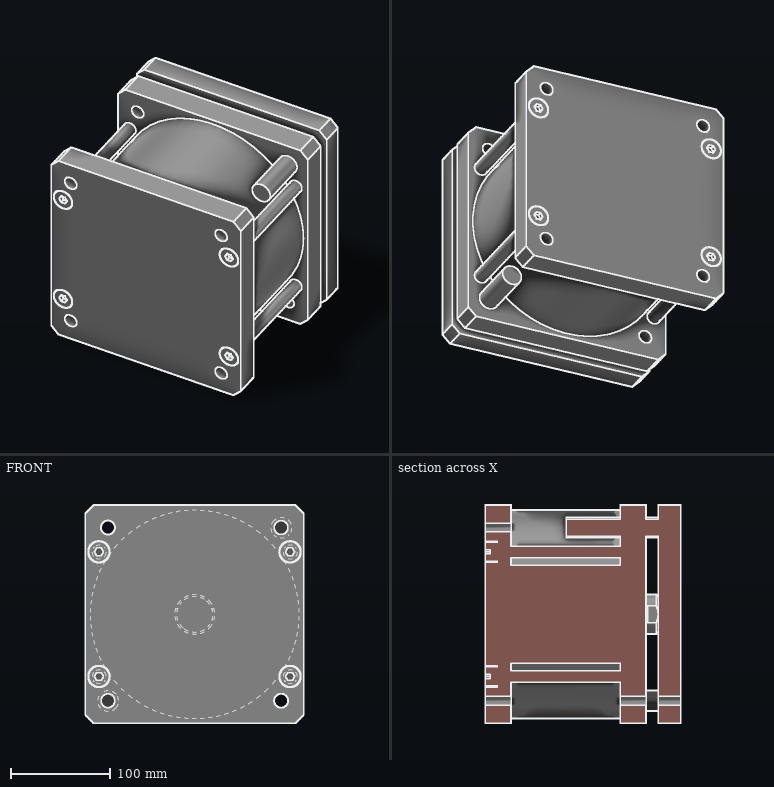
import cadquery as cq
import math

plate_side = 220
plate_corner_chamfer = 8.5
cover_thickness = 26.2
barrel_length = 109.5
head_thickness = 26.2
plate_gap = 12.0
moving_thickness = 22.9

front_y = -(cover_thickness + barrel_length + head_thickness + plate_gap + moving_thickness) / 2
barrel_y = front_y + cover_thickness
head_y = barrel_y + barrel_length
gap_y = head_y + head_thickness
moving_y = gap_y + plate_gap
back_y = moving_y + moving_thickness

barrel_diameter = 210.0

tie_rod_diameter = 14.0
tie_rod_x = 96.1
tie_rod_z = 62.7
counterbore_diameter = 22
counterbore_depth = 12.0
screw_head_diameter = 21.0
socket_across_flats = 8.0
socket_depth = 5.0

corner_offset = 87.1
corner_hole_diameter = 13.9
guide_pin_diameter = 21.0
guide_pin_reach = 54.3

rod_diameter = 40.0
rod_end_chamfer = 2.0
wrench_across_flats = 36.0
wrench_shoulder = 1.8

tie_rod_points = [(x, z) for x in (-tie_rod_x, tie_rod_x) for z in (-tie_rod_z, tie_rod_z)]
guide_pin_points = [(side * corner_offset, side * corner_offset) for side in (-1, 1)]
open_hole_points = [(-side * corner_offset, side * corner_offset) for side in (-1, 1)]


def section_plane(y):
    """Sketch plane at depth y: local axes are X and Z, negative extrusion runs toward +Y."""
    return cq.Workplane(cq.Plane(origin=(0, y, 0), xDir=(1, 0, 0), normal=(0, -1, 0)))


def plate(y_start, thickness):
    return (
        section_plane(y_start)
        .rect(plate_side, plate_side)
        .extrude(-thickness)
        .edges("|Y")
        .chamfer(plate_corner_chamfer)
    )


def cylinders(points, diameter, y_start, y_end):
    return section_plane(y_start).pushPoints(points).circle(diameter / 2).extrude(y_start - y_end)


def piston_rod():
    """Chamfered rod end with a flat on each X side; each flat runs out at 45 degrees towards the head."""
    rod = cylinders([(0, 0)], rod_diameter, gap_y, moving_y).faces(">Y").chamfer(rod_end_chamfer)
    flat_x = wrench_across_flats / 2
    runout_x = flat_x + wrench_shoulder
    envelope = (
        cq.Workplane("XY")
        .moveTo(-runout_x, gap_y)
        .lineTo(runout_x, gap_y)
        .lineTo(flat_x, gap_y + wrench_shoulder)
        .lineTo(flat_x, moving_y)
        .lineTo(-flat_x, moving_y)
        .lineTo(-flat_x, gap_y + wrench_shoulder)
        .close()
        .extrude(rod_diameter / 2, both=True)
    )
    return rod.intersect(envelope)


def screw_recesses():
    """Clearance rings around the screw heads and the hexagon sockets inside them."""
    rings = (
        section_plane(front_y)
        .pushPoints(tie_rod_points)
        .circle(counterbore_diameter / 2)
        .circle(screw_head_diameter / 2)
        .extrude(-counterbore_depth)
    )
    socket_across_corners = socket_across_flats / math.cos(math.pi / 6)
    sockets = (
        section_plane(front_y)
        .pushPoints(tie_rod_points)
        .polygon(6, socket_across_corners)
        .extrude(-socket_depth)
    )
    return rings.union(sockets)


body = (
    plate(front_y, cover_thickness)
    .union(cylinders([(0, 0)], barrel_diameter, barrel_y, head_y))
    .union(cylinders(tie_rod_points, tie_rod_diameter, barrel_y, head_y))
    .union(plate(head_y, head_thickness))
    .union(piston_rod())
    .union(plate(moving_y, moving_thickness))
    .union(cylinders(guide_pin_points, guide_pin_diameter, head_y - guide_pin_reach, moving_y))
)

result = (
    body
    .cut(cylinders(open_hole_points, corner_hole_diameter, front_y, back_y))
    .cut(cylinders(guide_pin_points, corner_hole_diameter, front_y, barrel_y))
    .cut(screw_recesses())
)